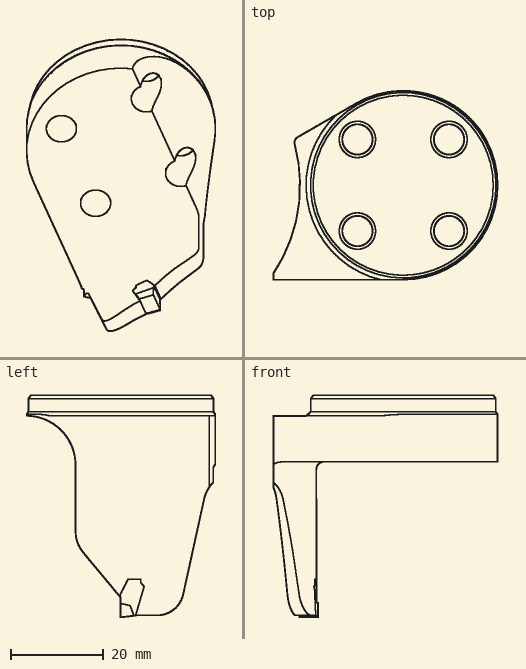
import cadquery as cq
import math


disc_radius = 40.0 / 2
disc_chamfer_height = 0.78
disc_chamfer_width = 0.6
disc_bottom = -3.6
collar_spread = 0.95
collar_fullness = 0.4
block_top = -4.5

hole_diameter = 6.5
countersink_diameter = 7.85
countersink_angle = 90
hole_spacing = 19.75

block_radius = 20.4
block_bottom = -14.45
heel_x = block_radius - 48.45
heel_flat = 1.35
slant_angle = 30
hollow_radius = 33.9
hollow_bottom_x = -22.3
corner_radius = 1.45

back_radius = 25.9
back_crest_x = -18.7
back_axis_x = back_crest_x - back_radius
flare_radius = 1.5

scoop_radius = 10.55
shank_edge_y = block_radius - scoop_radius
scoop_z = block_top - scoop_radius
shoulder_z = -31.95
shoulder_radius = 7.25
nose_y = 0.35
nose_z = -43.4
blade_bottom = -47.55
toe_y = -12.45
toe_radius = 5.8
heel_bend_y = -17.95
heel_bend_z = -22.45
heel_end_y = -20.4
heel_end_z = -18.4

insert_face_x = hollow_bottom_x
insert_top = -39.7
insert_side_z = -43.6
insert_tip = -48.0
tip_y = 0.15
tip_back_y = -3.15
tip_back_z = -47.6
ridge_height = 0.2
tip_overhang = 0.35
overhang_top = -44.8

margin = 9.7
slab_radius = 48.45


def make_footprint():
    """Plan of the block and blade, extruded from the block top to below the blade."""
    hollow_axis_x = hollow_bottom_x - hollow_radius
    heel_y = -block_radius + heel_flat
    slant = math.radians(slant_angle)
    tangent_x = -block_radius * math.sin(slant)
    tangent_y = block_radius * math.cos(slant)

    offset_x = tangent_x - hollow_axis_x
    along = offset_x * math.cos(slant) + tangent_y * math.sin(slant)
    distance_squared = offset_x**2 + tangent_y**2
    travel = along - math.sqrt(along**2 - distance_squared + hollow_radius**2)
    corner_x = tangent_x - travel * math.cos(slant)
    corner_y = tangent_y - travel * math.sin(slant)

    plan = (
        cq.Workplane("XY", origin=(0, 0, block_top))
        .moveTo(heel_x, -block_radius)
        .lineTo(0, -block_radius)
        .threePointArc((block_radius * math.cos(slant), block_radius * math.sin(slant)), (tangent_x, tangent_y))
        .lineTo(corner_x, corner_y)
        .threePointArc((hollow_bottom_x, 0), (heel_x, heel_y))
        .close()
    )
    prism = plan.extrude(insert_tip - block_top)
    corner_edge = cq.selectors.NearestToPointSelector((corner_x, corner_y, (insert_tip + block_top) / 2))
    return prism.edges(corner_edge).fillet(corner_radius)


def make_back_cylinder():
    """Cylinder whose wall is the back of the blade, flaring outward into the block."""
    flare_mid = flare_radius * (1 - math.sqrt(0.5))
    flare_outer = back_radius + flare_radius
    return (
        cq.Workplane("XZ", origin=(back_axis_x, 0, 0))
        .moveTo(0, block_bottom)
        .lineTo(flare_outer, block_bottom)
        .threePointArc(
            (back_radius + flare_mid, block_bottom - flare_mid),
            (back_radius, block_bottom - flare_radius),
        )
        .lineTo(back_radius, insert_tip)
        .lineTo(0, insert_tip)
        .close()
        .revolve(360, (0, 0, 0), (0, 1, 0))
    )


def make_side_outline():
    """Side outline of block and blade, extruded across the whole part along X."""
    scoop_mid = scoop_radius * math.sqrt(0.5)
    width = 48.45 + 2 * margin
    outline = (
        cq.Workplane("YZ", origin=(heel_x - margin, 0, 0))
        .moveTo(block_radius, block_top)
        .threePointArc((block_radius - scoop_mid, scoop_z + scoop_mid), (shank_edge_y, scoop_z))
        .lineTo(shank_edge_y, shoulder_z)
        .lineTo(nose_y, nose_z)
        .lineTo(tip_y, insert_side_z)
        .lineTo(tip_back_y, blade_bottom)
        .lineTo(toe_y, blade_bottom)
        .lineTo(heel_bend_y, heel_bend_z)
        .tangentArcPoint((heel_end_y, heel_end_z), relative=False)
        .lineTo(heel_end_y, block_top)
        .close()
        .extrude(width)
    )
    middle_x = heel_x - margin + width / 2
    for y, z, radius in ((shank_edge_y, shoulder_z, shoulder_radius), (toe_y, blade_bottom, toe_radius)):
        edge = cq.selectors.NearestToPointSelector((middle_x, y, z))
        outline = outline.edges(edge).fillet(radius)
    return outline


def make_disc():
    """Locating disc with a chamfered top edge."""
    disc = cq.Workplane("XY", origin=(0, 0, block_top)).circle(disc_radius).extrude(-block_top)
    return disc.faces(">Z").chamfer(disc_chamfer_height, disc_chamfer_width)


def make_collar():
    """Concave collar spreading from the disc to the block, trimmed to the round side of the block."""
    collar_height = disc_bottom - block_top
    collar = (
        cq.Workplane("XZ")
        .moveTo(0, disc_bottom)
        .lineTo(disc_radius, disc_bottom)
        .threePointArc(
            (disc_radius + collar_spread * collar_fullness, block_top + collar_height * collar_fullness),
            (disc_radius + collar_spread, block_top),
        )
        .lineTo(0, block_top)
        .close()
        .revolve(360, (0, 0, 0), (0, 1, 0))
    )
    trim = make_footprint().translate((0, 0, collar_height))
    return collar.intersect(trim)


def make_insert_outline(start_x, end_x):
    """Prism along X with the side outline of the insert."""
    points = [
        (-1.55, insert_top),
        (-4.2, insert_top),
        (-4.2, -40.45),
        (-5.0, -41.3),
        (tip_back_y, tip_back_z),
        (tip_y, insert_tip),
        (tip_y, insert_side_z),
        (nose_y, nose_z),
    ]
    return cq.Workplane("YZ", origin=(start_x, 0, 0)).polyline(points).close().extrude(end_x - start_x)


def make_housing():
    """Disc, block and blade in one piece, with the mounting holes and the insert pocket."""
    slab = cq.Workplane("XY", origin=(0, 0, block_bottom)).circle(slab_radius).extrude(block_top - block_bottom)
    body = slab.union(make_back_cylinder()).intersect(make_footprint()).intersect(make_side_outline())
    body = body.union(make_collar()).union(make_disc())
    body = (
        body.faces(">Z")
        .workplane(origin=(0, 0, 0))
        .rect(hole_spacing, hole_spacing, forConstruction=True)
        .vertices()
        .cskHole(hole_diameter, countersink_diameter, countersink_angle)
    )
    return body.cut(make_insert_outline(heel_x, back_crest_x + margin))


def make_insert():
    """Cutting insert that fills the pocket at the end of the blade."""
    tip_x = back_crest_x + tip_overhang
    shape = make_insert_outline(insert_face_x, tip_x)
    overhang = cq.Workplane("XY").box(margin, margin, overhang_top - insert_tip, centered=(True, True, False))
    overhang = overhang.translate((back_crest_x, 0, insert_tip))
    shape = shape.intersect(make_back_cylinder().union(overhang))

    ridge = (
        cq.Workplane("YZ", origin=(insert_face_x - ridge_height, 0, 0))
        .polyline([(tip_y, -44.95), (-2.0, -45.45), (-2.75, -47.55), (tip_y, insert_tip)])
        .close()
        .extrude(ridge_height)
    )
    return shape.union(ridge)


housing = make_housing()
insert = make_insert()
result = cq.Compound.makeCompound([housing.solids().val(), insert.solids().val()])